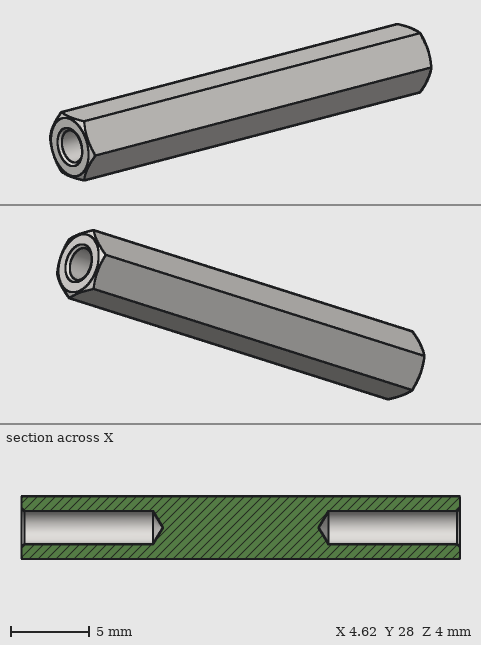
import cadquery as cq
import math

length = 28.0
across_flats = 4.0
across_corners = across_flats / math.cos(math.radians(30))

face_diameter = 3.8
corner_angle = 30.0

corner_clearance = 0.28

hole_diameter = 2.1
mouth_diameter = 2.5
hole_depth = 8.4
drill_point_angle = 118.0


def revolve_about_y(points):
    """Turn a closed (radius, y) outline into a solid around the Y axis."""
    return cq.Workplane("XY").polyline(points).close().revolve(360, (0, 0), (0, 1))


bar = (
    cq.Workplane("XZ")
    .polygon(6, across_corners)
    .extrude(length / 2, both=True)
)

end_y = length / 2
face_radius = face_diameter / 2
envelope_radius = across_corners / 2 + corner_clearance
trim_length = (envelope_radius - face_radius) * math.tan(math.radians(corner_angle))
envelope = revolve_about_y([
    (0, -end_y),
    (face_radius, -end_y),
    (envelope_radius, -end_y + trim_length),
    (envelope_radius, end_y - trim_length),
    (face_radius, end_y),
    (0, end_y),
])

hole_radius = hole_diameter / 2
mouth_radius = mouth_diameter / 2
mouth_depth = mouth_radius - hole_radius
point_depth = hole_radius / math.tan(math.radians(drill_point_angle / 2))
hole = revolve_about_y([
    (0, -end_y),
    (mouth_radius, -end_y),
    (hole_radius, -end_y + mouth_depth),
    (hole_radius, -end_y + hole_depth),
    (0, -end_y + hole_depth + point_depth),
])

result = bar.intersect(envelope).cut(hole).cut(hole.mirror("XZ"))